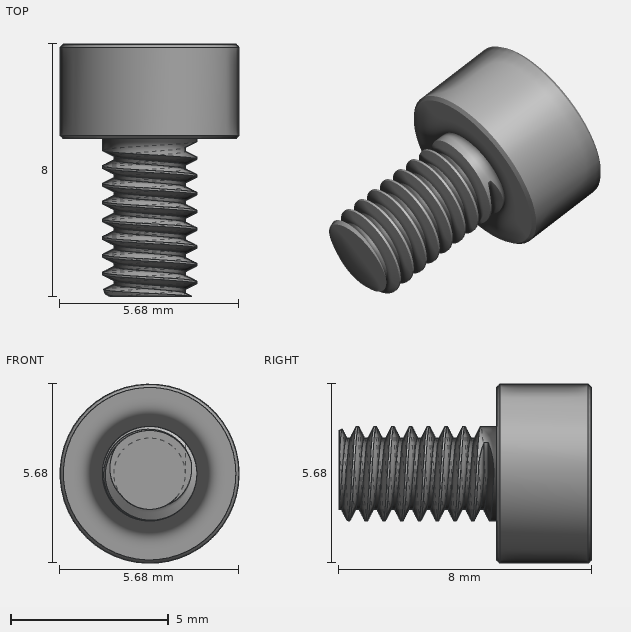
import cadquery as cq
import math

total_length = 8.0
head_diameter = 5.68
head_length = 3.0
head_chamfer = 0.1
shank_diameter = 3.0

eight_turns = 4.5
pitch = eight_turns / 8
root_diameter = 2.26
groove_mouth = 0.5
groove_floor = 0.13
first_groove = 0.34
overcut = 0.02

tip_taper_length = 0.32
tip_taper_depth = 0.13

shank_length = total_length - head_length
shank_radius = shank_diameter / 2
root_radius = root_diameter / 2


def make_head():
    """Plain cylinder behind z = 0, chamfered at both rims."""
    return (
        cq.Workplane("XY")
        .circle(head_diameter / 2)
        .extrude(-head_length)
        .faces("<Z or >Z")
        .chamfer(head_chamfer)
    )


def make_shank():
    """Cylinder in front of z = 0 with a tapered tip."""
    return (
        cq.Workplane("XY")
        .circle(shank_radius)
        .extrude(shank_length)
        .faces(">Z")
        .chamfer(tip_taper_length, tip_taper_depth)
    )


def make_groove_profile():
    """Trapezoid at the +X side of the shank, where the groove starts."""
    flank_slope = (groove_mouth - groove_floor) / 2 / (shank_radius - root_radius)
    outer_radius = shank_radius + overcut
    half_outer = groove_mouth / 2 + overcut * flank_slope
    half_floor = groove_floor / 2
    return cq.Workplane("XZ").polyline([
        (root_radius, first_groove - half_floor),
        (outer_radius, first_groove - half_outer),
        (outer_radius, first_groove + half_outer),
        (root_radius, first_groove + half_floor),
    ]).close()


def make_groove_turn():
    """One turn of the groove, swept along a left-hand helix."""
    helix = cq.Wire.makeHelix(
        pitch, pitch, root_radius, center=cq.Vector(0, 0, first_groove), lefthand=True
    )
    return make_groove_profile().sweep(cq.Workplane(helix), isFrenet=True)


def make_groove_lead_in():
    """Straight cut, tangent to the root, from the groove start out of the shank."""
    return make_groove_profile().extrude(-shank_radius)


def cut_thread(shank):
    """Cut the lead-in, then the groove turn by turn until it runs out past the tip."""
    shank = shank.cut(make_groove_lead_in())
    groove_turn = make_groove_turn()
    turn_count = math.ceil((shank_length + groove_mouth / 2 - first_groove) / pitch)
    for turn in range(turn_count):
        shank = shank.cut(groove_turn.translate((0, 0, turn * pitch)))
    return shank


screw = make_head().union(cut_thread(make_shank()))

result = screw.rotate((0, 0, 0), (1, 0, 0), 90).translate((0, total_length / 2 - head_length, 0))